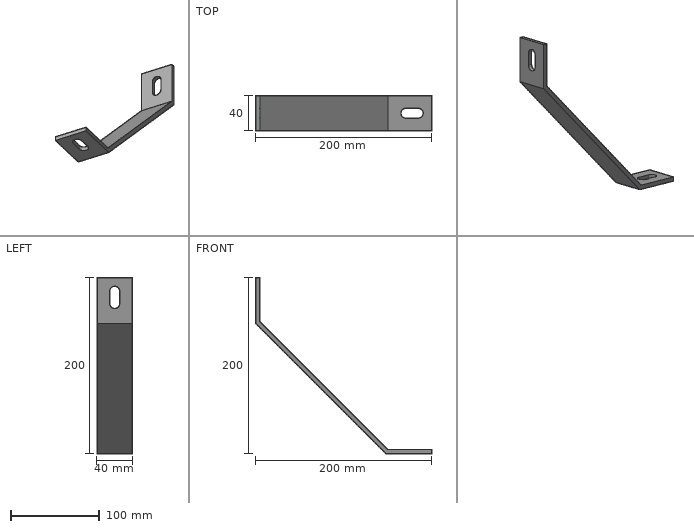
import cadquery as cq
import math

span = 200.0
width = 40.0
thickness = 5.0

flange_length = 52.0
bend_angle = math.radians(45)

slot_length = 25.0
slot_width = 11.0
slot_end_gap = 10.0
slot_offset = slot_end_gap + slot_length / 2


def make_strip():
    """Strip with two sharp bends, symmetric about the XZ mid-plane."""
    corner = span - flange_length
    inner_corner = corner + thickness * math.tan(bend_angle / 2)
    outline = (
        cq.Workplane("XZ")
        .moveTo(0, span)
        .lineTo(0, corner)
        .lineTo(corner, 0)
        .lineTo(span, 0)
        .lineTo(span, thickness)
        .lineTo(inner_corner, thickness)
        .lineTo(thickness, inner_corner)
        .lineTo(thickness, span)
        .close()
    )
    return outline.extrude(width / 2, both=True)


def make_slot(plane, x, z, angle):
    """Cutter through one flange, starting on its outer face."""
    return (
        cq.Workplane(plane, origin=(x, 0, z))
        .slot2D(slot_length, slot_width, angle)
        .extrude(thickness)
    )


bottom_slot = make_slot("XY", span - slot_offset, 0, 0)
upright_slot = make_slot("YZ", 0, span - slot_offset, 90)

result = make_strip().cut(bottom_slot).cut(upright_slot)